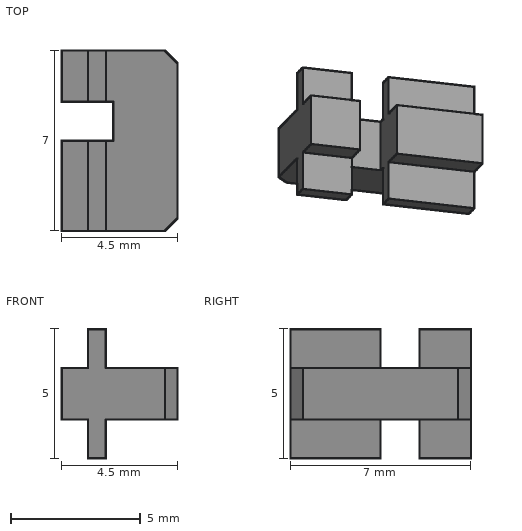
import cadquery as cq

body_length = 4.5
body_width = 7.0
body_height = 2.0
corner_chamfer = 0.5

flange_height = 5.0
flange_thickness = 0.7
flange_setback = 1.02

slot_depth = 2.0
slot_width = 1.5
slot_setback = 2.0

body_back_x = -body_length / 2
body_side_y = body_width / 2


def make_body():
    block = cq.Workplane("XY").box(body_length, body_width, body_height)
    return block.faces(">X").edges("|Z").chamfer(corner_chamfer)


def make_flange():
    center_x = body_back_x + flange_setback + flange_thickness / 2
    plate = cq.Workplane("XY").box(flange_thickness, body_width, flange_height)
    return plate.translate((center_x, 0, 0))


def make_slot():
    center_x = body_back_x + slot_depth / 2
    center_y = body_side_y - slot_setback - slot_width / 2
    cutter = cq.Workplane("XY").box(slot_depth, slot_width, flange_height)
    return cutter.translate((center_x, center_y, 0))


result = make_body().union(make_flange()).cut(make_slot())